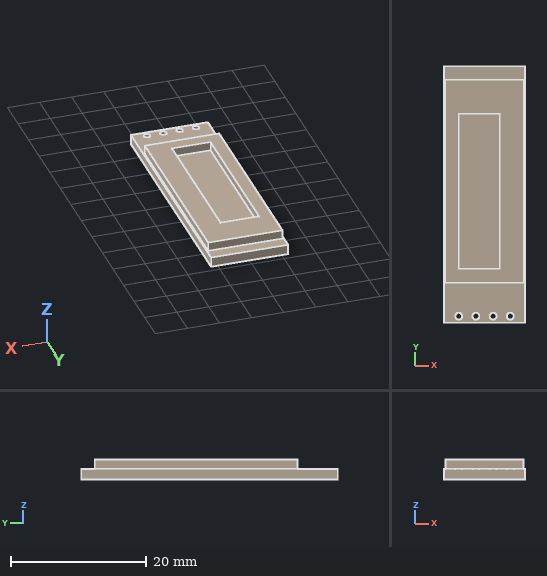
import cadquery as cq

board_width = 12.0
board_length = 38.0
total_height = 3.0
board_thickness = 1.6

panel_width = 11.6
panel_length = 30.02
panel_end_margin = 2.0
panel_thickness = total_height - board_thickness

window_width = 6.0
window_length = 23.0
window_side_margin = 2.0
window_end_margin = 5.0
window_depth = panel_thickness

hole_count = 4
hole_diameter = 1.0
hole_pitch = 2.55
hole_end_margin = 1.0

panel_end_y = board_length / 2 - panel_end_margin
panel_center_y = panel_end_y - panel_length / 2
window_center_x = -panel_width / 2 + window_side_margin + window_width / 2
window_center_y = panel_end_y - window_end_margin - window_length / 2
hole_row_y = -board_length / 2 + hole_end_margin


def make_block(width, length, height, center_x, center_y, bottom_z):
    """Rectangular block centred in X and Y, standing on bottom_z."""
    block = cq.Workplane("XY").box(width, length, height, centered=(True, True, False))
    return block.translate((center_x, center_y, bottom_z))


def make_pin_holes():
    """Cylinders for the through holes, evenly spaced about the centre line."""
    return (
        cq.Workplane("XY")
        .center(0, hole_row_y)
        .rarray(hole_pitch, 0.38, hole_count, 1)
        .circle(hole_diameter / 2)
        .extrude(board_thickness)
    )


board = make_block(board_width, board_length, board_thickness, 0, 0, 0)
panel = make_block(panel_width, panel_length, panel_thickness, 0, panel_center_y, board_thickness)
window = make_block(
    window_width,
    window_length,
    window_depth,
    window_center_x,
    window_center_y,
    total_height - window_depth,
)

result = board.union(panel).cut(window).cut(make_pin_holes())